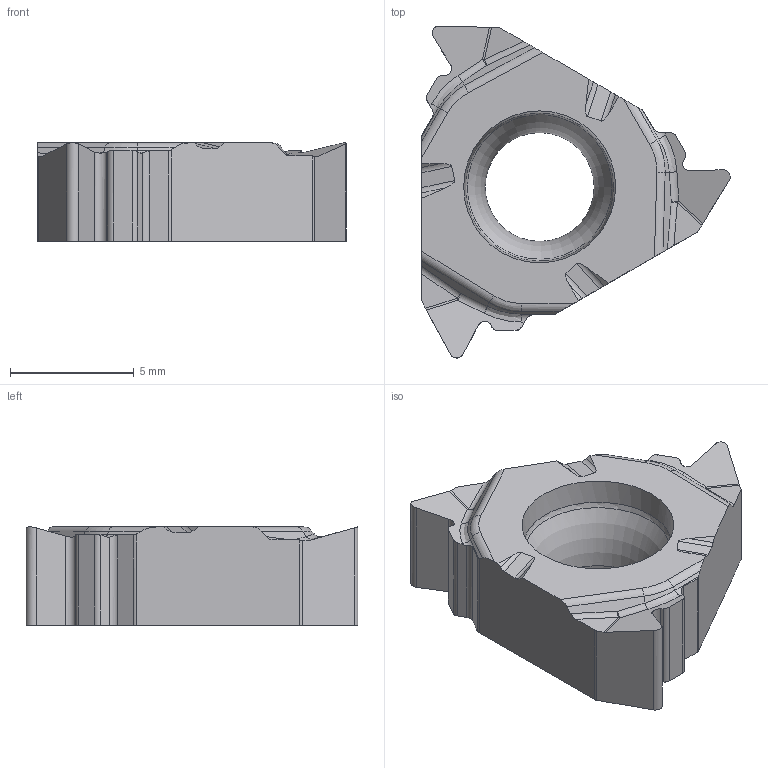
import cadquery as cq
import math


CORNERS = 3
CORNER_STEP = 360 / CORNERS

THICKNESS = 3.97
INSCRIBED_RADIUS = 4.7625

TIP_CENTRE_X = -3.355
TIP_CENTRE_Y = -6.63
TIP_RADIUS = 0.28
FLANK_HALF_ANGLE = math.radians(28.5)
FORM_RADIUS = 0.25
VALLEY_RADIUS = 0.275
ROOT_RADIUS = 0.34
VALLEY_X = -2.22
CREST_Y = -5.794
CREST_END_X = -0.81
SHOULDER_Y = -5.17
SHOULDER_FLANK_ANGLE = math.radians(60)

TOOTH_RAKE = 15.5
FLOOR_DEPTH = 0.53
FLOOR_FALL = 5
WALL_SLOPE = 53
WALL_Y = -4.92
WALL_SWING = math.radians(31.6)
WALL_BEND_X = -1.4
WALL_BEND_RADIUS = 2.35
WALL_TOP_RADIUS = 0.42
WALL_BASE_RADIUS = 0.3
GROOVE_DEPTH = 1.0
GROOVE_REACH_RIGHT = 4.5
GROOVE_REACH_LEFT = 6.75
GROOVE_FOOT_MARGIN = 1.0
HALFSPACE_SIZE = 40

NOTCH_DEPTH = 0.22
NOTCH_LENGTH = 1.3
NOTCH_FLOOR_WIDTH = 0.82
NOTCH_CENTRE_Y = 0.27
NOTCH_SWING = 12
NOTCH_WALL_SLOPE = math.radians(38)
NOTCH_RADIUS = 0.34
NOTCH_HEADROOM = 0.5

BORE_RADIUS = 4.4 / 2
RECESS_RADIUS = 6.14 / 2
SEAT_MOUTH_RADIUS = 2.99
SEAT_RADIUS = 4.2
SEAT_START_Z = 0.4
SEAT_BLEND_RADIUS = 0.44


def rotated(point, angle):
    """Plan point turned about the insert axis by an angle in degrees."""
    c = math.cos(math.radians(angle))
    s = math.sin(math.radians(angle))
    return (point[0] * c - point[1] * s, point[0] * s + point[1] * c)


def repeated(shape):
    """The copies of a shape for every corner."""
    return [shape.rotate((0, 0, 0), (0, 0, 1), i * CORNER_STEP) for i in range(CORNERS)]


def corner_points():
    """Sharp outline corners of one tooth with the radius that rounds each."""
    flank_slope = 1 / math.tan(FLANK_HALF_ANGLE)
    apex_x = TIP_CENTRE_X
    apex_y = TIP_CENTRE_Y - TIP_RADIUS / math.sin(FLANK_HALF_ANGLE)
    side_y = apex_y + (apex_x + INSCRIBED_RADIUS) * flank_slope
    valley_y = apex_y + (VALLEY_X - apex_x) * flank_slope
    crest_start_x = VALLEY_X + (valley_y - CREST_Y) / flank_slope
    root_x = CREST_END_X + (SHOULDER_Y - CREST_Y) / math.tan(SHOULDER_FLANK_ANGLE)
    side_angle = math.radians(CORNER_STEP - 90)
    shoulder_x = (INSCRIBED_RADIUS + SHOULDER_Y * math.cos(side_angle)) / math.sin(side_angle)
    return [
        ((-INSCRIBED_RADIUS, side_y), FORM_RADIUS),
        ((apex_x, apex_y), TIP_RADIUS),
        ((VALLEY_X, valley_y), VALLEY_RADIUS),
        ((crest_start_x, CREST_Y), FORM_RADIUS),
        ((CREST_END_X, CREST_Y), FORM_RADIUS),
        ((root_x, SHOULDER_Y), ROOT_RADIUS),
        ((shoulder_x, SHOULDER_Y), FORM_RADIUS),
    ]


def make_blank():
    """Prism of the rounded insert outline."""
    corners = []
    for i in range(CORNERS):
        corners += [(rotated(p, i * CORNER_STEP), r) for p, r in corner_points()]
    blank = cq.Workplane("XY").polyline([p for p, r in corners]).close().extrude(THICKNESS)
    for (x, y), radius in corners:
        edge = cq.selectors.NearestToPointSelector((x, y, THICKNESS / 2))
        blank = blank.edges("|Z").edges(edge).fillet(radius)
    return blank


def halfspace(origin, normal):
    """Large block standing on a plane."""
    plane = cq.Plane(origin=origin, xDir=(0, 1, 0) if normal[0] else (1, 0, 0), normal=normal)
    return cq.Workplane(plane).rect(HALFSPACE_SIZE, HALFSPACE_SIZE).extrude(HALFSPACE_SIZE)


def make_groove():
    """Cutter that leaves a sloped wall, a raked tooth top and a gently falling floor."""
    bend_tangent = WALL_BEND_RADIUS * math.tan(WALL_SWING / 2)
    swing_x = math.cos(WALL_SWING)
    swing_y = math.sin(WALL_SWING)
    bend_start = (WALL_BEND_X - bend_tangent * swing_x, WALL_Y + bend_tangent * swing_y)
    bend_end = (WALL_BEND_X + bend_tangent, WALL_Y)
    bend_centre_y = WALL_Y + WALL_BEND_RADIUS
    bend_middle = (
        bend_end[0] - WALL_BEND_RADIUS * math.sin(WALL_SWING / 2),
        bend_centre_y - WALL_BEND_RADIUS * math.cos(WALL_SWING / 2),
    )
    far_left = (WALL_BEND_X - GROOVE_REACH_LEFT * swing_x, WALL_Y + GROOVE_REACH_LEFT * swing_y)
    far_right_x = WALL_BEND_X + GROOVE_REACH_RIGHT
    far_y = WALL_Y - GROOVE_REACH_RIGHT
    groove = (
        cq.Workplane("XY", origin=(0, 0, THICKNESS))
        .moveTo(*far_left)
        .lineTo(*bend_start)
        .threePointArc(bend_middle, bend_end)
        .lineTo(far_right_x, WALL_Y)
        .lineTo(far_right_x, far_y)
        .lineTo(far_left[0], far_y)
        .close()
        .extrude(-GROOVE_DEPTH, taper=90 - WALL_SLOPE)
    )
    rake = math.radians(TOOTH_RAKE)
    fall = math.radians(FLOOR_FALL)
    tip_y = TIP_CENTRE_Y - TIP_RADIUS
    above_tooth = halfspace((TIP_CENTRE_X, tip_y, THICKNESS), (0, math.sin(rake), math.cos(rake)))
    above_floor = halfspace(
        (-INSCRIBED_RADIUS, WALL_Y, THICKNESS - FLOOR_DEPTH), (math.sin(fall), 0, math.cos(fall))
    )
    groove = groove.intersect(above_tooth).intersect(above_floor)
    inside = cq.selectors.BoxSelector(
        (-INSCRIBED_RADIUS - GROOVE_FOOT_MARGIN, WALL_Y - GROOVE_FOOT_MARGIN, 0),
        (INSCRIBED_RADIUS, 0, THICKNESS - WALL_BASE_RADIUS / 2),
    )
    return groove.edges(inside).fillet(WALL_BASE_RADIUS)


def make_notch():
    """Tilted channel cutter that runs out at the top face."""
    half_floor = NOTCH_FLOOR_WIDTH / 2
    half_top = half_floor + NOTCH_HEADROOM / math.tan(NOTCH_WALL_SLOPE)
    ramp = math.degrees(math.atan(NOTCH_DEPTH / NOTCH_LENGTH))
    overrun = NOTCH_LENGTH / 2
    return (
        cq.Workplane("YZ", origin=(-overrun, 0, 0))
        .moveTo(-half_floor, 0)
        .lineTo(half_floor, 0)
        .lineTo(half_top, NOTCH_HEADROOM)
        .lineTo(-half_top, NOTCH_HEADROOM)
        .close()
        .extrude(NOTCH_LENGTH + 2 * overrun)
        .faces("<Z")
        .edges("|X")
        .fillet(NOTCH_RADIUS)
        .rotate((0, 0, 0), (0, 1, 0), -ramp)
        .rotate((0, 0, 0), (0, 0, 1), NOTCH_SWING)
        .translate((-INSCRIBED_RADIUS, NOTCH_CENTRE_Y, THICKNESS - NOTCH_DEPTH))
    )


def make_screw_hole():
    """Bore with a rounded screw seat and a slightly tapered recess above it."""
    seat_centre_x = BORE_RADIUS + SEAT_RADIUS
    seat_sweep = math.acos((seat_centre_x - SEAT_MOUTH_RADIUS) / SEAT_RADIUS)
    seat_top_z = SEAT_START_Z + SEAT_RADIUS * math.sin(seat_sweep)
    seat_middle = (
        seat_centre_x - SEAT_RADIUS * math.cos(seat_sweep / 2),
        SEAT_START_Z + SEAT_RADIUS * math.sin(seat_sweep / 2),
    )
    hole = (
        cq.Workplane("XZ")
        .lineTo(BORE_RADIUS, 0)
        .lineTo(BORE_RADIUS, SEAT_START_Z)
        .threePointArc(seat_middle, (SEAT_MOUTH_RADIUS, seat_top_z))
        .lineTo(RECESS_RADIUS, THICKNESS)
        .lineTo(0, THICKNESS)
        .close()
        .revolve(360, (0, 0, 0), (0, 1, 0))
    )
    seat_rim = cq.selectors.BoxSelector(
        (-RECESS_RADIUS * 2, -RECESS_RADIUS * 2, seat_top_z - SEAT_BLEND_RADIUS),
        (RECESS_RADIUS * 2, RECESS_RADIUS * 2, seat_top_z + SEAT_BLEND_RADIUS),
    )
    return hole.edges("%CIRCLE").edges(seat_rim).fillet(SEAT_BLEND_RADIUS)


def round_wall_tops(body):
    """Rounds the edge where each groove wall meets the top face."""
    for i in range(CORNERS):
        x, y = rotated((0, WALL_Y), i * CORNER_STEP)
        wall_top = cq.selectors.NearestToPointSelector((x, y, THICKNESS))
        body = body.faces(">Z").edges(wall_top).fillet(WALL_TOP_RADIUS)
    return body


result = make_blank()
for groove in repeated(make_groove()):
    result = result.cut(groove)
result = round_wall_tops(result)
for notch in repeated(make_notch()):
    result = result.cut(notch)
result = result.cut(make_screw_hole())